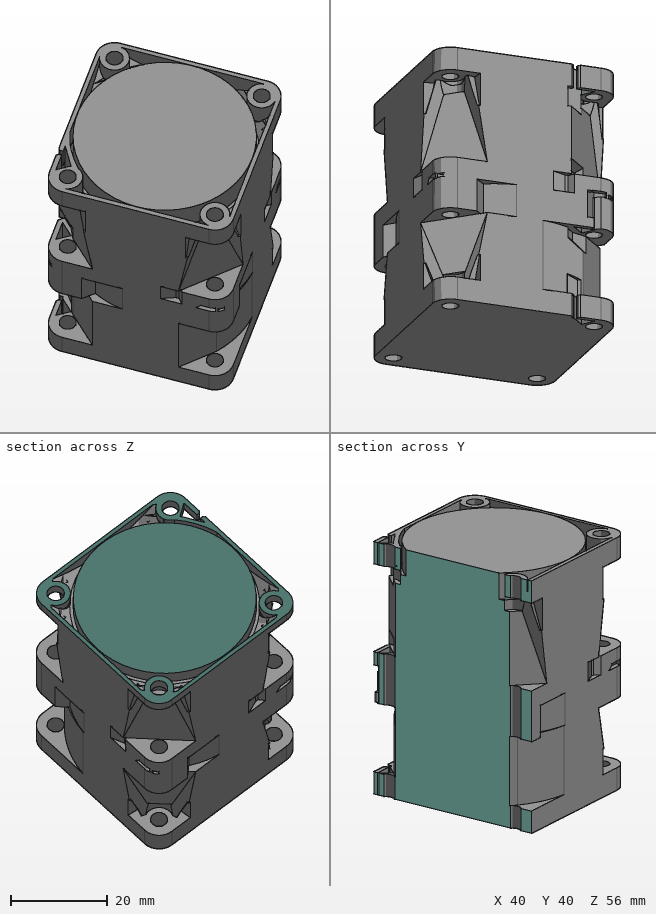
import cadquery as cq
import math

WIDTH = 40.0
HEIGHT = 56.0
HALF = WIDTH / 2
CORNER_RADIUS = 4.0

FLANGE = 5.0
TOP_FLANGE_Z = HEIGHT - FLANGE
MID_BOTTOM_Z = 20.3
MID_TOP_Z = 31.6
MID_STEP_Z = 27.4
HOLE_OFFSET = 16.0
HOLE_DIAMETER = 3.5

RECESS_EDGE = 9.35
RECESS_PLANE = HALF + RECESS_EDGE
RECESS_NARROW_EDGE = 12.4
RECESS_DRAFT = 0.3
SCREW_CLEARANCE_RADIUS = 3.0
SCREW_CLEARANCE_HEIGHT = 3.0
RELIEF_EDGE = 10.9
RELIEF_WIDTH = 2.6
RELIEF_DEPTH = 2.5
RELIEF_RIB_DEPTH = 2.0
RELIEF_TIP_WIDTH = 0.8
RELIEF_TIP_DEPTH = 0.4
RELIEF_DRAFT = 0.12
RELIEF_FLOOR_SHARE = 0.77
UPPER_RELIEF_HEIGHT = 7.1
LOWER_RELIEF_HEIGHT = 5.7

ARC_START = 3.1
ARC_END = 13.75
ARC_RADIUS = 20.5
ARC_MIDDLE_ANGLE = math.radians(25)

HUB_RADIUS = 19.0
GAP_HALF = 19.05
GAP_THROAT_RADIUS = 19.7
GAP_MOUTH_RADIUS = 27.5
GAP_DEPTH = 5.8
GAP_LEDGE_PLANE = 30.2
GAP_LEDGE_DEPTH = 4.1
HOLE_BOSS_RADIUS = 3.1

LATCH_HEIGHT = MID_TOP_Z - MID_STEP_Z
LATCH_DEPTH = 1.2
LATCH_START = 5.4
LATCH_FLOOR_START = 8.4
LATCH_FLOOR_END = 9.1
LATCH_END = 10.1
TAB_START = 2.85
TAB_DEEP = 9.4
TAB_END = 11.7
SLOT_START = 13.2
SLOT_END = 17.3
SLOT_HEIGHT = 1.2
SLOT_RAMP = 1.0
SLOT_DEPTH = 1.2
WINDOW_START = 17.8
WINDOW_END = 18.9
WINDOW_HEIGHT = 0.8
WINDOW_DEPTH = 2.2

CABLE_WALL_X = -18.9
CABLE_APEX = (-16.2, 16.2 - RECESS_PLANE)
CABLE_BACK_Y = -15.0
CABLE_MOUTH_Y = -8.6
CABLE_POCKET_Z = 46.6
CABLE_SLOT_Y = -10.5
CABLE_SLOT_WIDTH = 1.0
CABLE_SLOT_CHAMFER = 0.45
UPPER_EXIT_TOP = 35.0
LOWER_EXIT_BOTTOM = 16.5
UPPER_EXIT_END_Y = -13.75
LOWER_EXIT_END_Y = -14.7
UPPER_EXIT_WALL_X = -18.7
LOWER_EXIT_WALL_X = -17.8
EXIT_FLAT = 1.9
EXIT_ROOF_DROP = 1.9
BASE_POCKET_TOP = 9.9
BASE_POCKET = [(-19.5, -9.1), (-18.2, -9.1), (-15.8, -12.4), (-16.2, -13.1), (-18.0, -13.1)]
SIDE_CHANNEL = [(-HALF, -13.0), (-18.2, -13.75), (-HALF, -16.0)]
SIDE_CHANNEL_BOTTOM = 22.5
SIDE_CHANNEL_TOP = 28.5
SIDE_CHANNEL_STEP_Y = -14.4


def prism(points, bottom, top):
    """Vertical prism over a closed outline."""
    return cq.Workplane("XY").workplane(offset=bottom).polyline(points).close().extrude(top - bottom)


def block(x_range, y_range, z_range):
    """Box spanning three (low, high) ranges."""
    (x0, x1), (y0, y1), (z0, z1) = x_range, y_range, z_range
    return cq.Workplane("XY").box(x1 - x0, y1 - y0, z1 - z0, centered=False).translate((x0, y0, z0))


def cylinder(x, y, radius, bottom, top):
    """Vertical cylinder."""
    return cq.Workplane("XY").workplane(offset=bottom).center(x, y).circle(radius).extrude(top - bottom)


def quarter_turns(shape):
    """The four copies of a shape turned about the Z axis."""
    return [shape.rotate((0, 0, 0), (0, 0, 1), 90 * turn) for turn in range(4)]


def corner_wedge(plane, bottom, top):
    """Material beyond the line x + y = plane at the (+X, +Y) corner."""
    return prism([(plane - HALF, HALF), (HALF, HALF), (HALF, plane - HALF)], bottom, top)


def loft_between(first, first_z, second, second_z):
    """Ruled solid joining two outlines at two heights."""
    start = cq.Workplane("XY").workplane(offset=first_z).polyline(first).close()
    return start.workplane(offset=second_z - first_z).polyline(second).close().loft(ruled=True)


def side_taper(wide_z, narrow_z):
    """Space beyond the slanted, drafted side wall of a recess that opens to the +Y face."""

    def section(edge):
        return [(edge, HALF), (edge + RECESS_DRAFT * HALF, 0), (HALF, 0), (HALF, HALF)]

    return loft_between(section(RECESS_EDGE), wide_z, section(RECESS_NARROW_EDGE), narrow_z)


def swap_xy(shape):
    """Mirror across the vertical plane X = Y."""
    return shape.rotate((0, 0, 0), (0, 0, 1), -90).mirror("XZ")


def face_relief(narrow_z, tip_z):
    """Groove in the +Y face beside the recess, shrinking from the end flange to a tip."""

    def section(width, depth, rib_depth):
        inner_x = RELIEF_EDGE + RELIEF_FLOOR_SHARE * width
        return [
            (RELIEF_EDGE, HALF),
            (RELIEF_EDGE + RELIEF_DRAFT * depth, HALF - depth),
            (inner_x, HALF - rib_depth),
            (RELIEF_EDGE + width, HALF),
        ]

    wide_end = section(RELIEF_WIDTH, RELIEF_DEPTH, RELIEF_RIB_DEPTH)
    tip = section(RELIEF_TIP_WIDTH, RELIEF_TIP_DEPTH, RELIEF_TIP_DEPTH)
    return loft_between(wide_end, narrow_z, tip, tip_z)


def tapered_recess(wide_z, narrow_z, relief_height, both_sides=True):
    """Cuts for a recess at the (+X, +Y) corner that narrows from wide_z to narrow_z."""
    direction = math.copysign(1, narrow_z - wide_z)
    taper = side_taper(wide_z, narrow_z)
    relief = face_relief(narrow_z, narrow_z - direction * relief_height)
    recess = corner_wedge(RECESS_PLANE, *sorted((wide_z, narrow_z))).intersect(taper)
    clearance_range = sorted((narrow_z - direction * SCREW_CLEARANCE_HEIGHT, narrow_z))
    cuts = [relief, cylinder(HOLE_OFFSET, HOLE_OFFSET, SCREW_CLEARANCE_RADIUS, *clearance_range)]
    if both_sides:
        recess = recess.intersect(swap_xy(taper))
        cuts.append(swap_xy(relief))
    return cuts + [recess]


def mirrored(shapes, *planes):
    """Copies of the shapes mirrored across each of the named planes in turn."""
    for plane in planes:
        shapes = [shape.mirror(plane) for shape in shapes]
    return shapes


def rounded_recess():
    """Recess at the (+X, +Y) corner: an arc from the +X face, then a flat chamfer."""
    middle = (ARC_RADIUS * math.cos(ARC_MIDDLE_ANGLE), ARC_RADIUS * math.sin(ARC_MIDDLE_ANGLE))
    outline = (
        cq.Workplane("XY")
        .workplane(offset=FLANGE)
        .moveTo(HALF, ARC_START)
        .threePointArc(middle, (RECESS_PLANE - ARC_END, ARC_END))
        .lineTo(RECESS_EDGE, HALF)
        .lineTo(HALF, HALF)
        .close()
    )
    return outline.extrude(MID_BOTTOM_Z - FLANGE)


def corner_recesses():
    """All eight corner recesses, upper then lower."""
    upper = tapered_recess(MID_TOP_Z, TOP_FLANGE_Z, UPPER_RELIEF_HEIGHT)
    cable_side = tapered_recess(MID_TOP_Z, TOP_FLANGE_Z, UPPER_RELIEF_HEIGHT, both_sides=False)
    lower = tapered_recess(MID_BOTTOM_Z, FLANGE, LOWER_RELIEF_HEIGHT)
    rounded = rounded_recess()
    upper_cuts = upper + mirrored(upper, "XZ") + mirrored(upper, "YZ") + mirrored(cable_side, "XZ", "YZ")
    lower_cuts = lower + mirrored(lower, "YZ") + mirrored([rounded], "XZ") + mirrored([rounded], "XZ", "YZ")
    return upper_cuts + lower_cuts


def inlet_gap():
    """Flared gap between the round hub and the square top flange."""
    floor_z = HEIGHT - GAP_DEPTH
    gap = (
        cq.Workplane("XY")
        .workplane(offset=floor_z)
        .circle(GAP_THROAT_RADIUS)
        .workplane(offset=GAP_DEPTH)
        .circle(GAP_MOUTH_RADIUS)
        .loft()
    )
    gap = gap.intersect(block((-GAP_HALF, GAP_HALF), (-GAP_HALF, GAP_HALF), (floor_z, HEIGHT)))
    gap = gap.cut(cylinder(0, 0, HUB_RADIUS, floor_z, HEIGHT))
    boss = cylinder(HOLE_OFFSET, HOLE_OFFSET, HOLE_BOSS_RADIUS, floor_z, HEIGHT)
    outer = block((HOLE_OFFSET, HALF), (HOLE_OFFSET, HALF), (floor_z, HEIGHT))
    ledge = corner_wedge(GAP_LEDGE_PLANE, floor_z, HEIGHT - GAP_LEDGE_DEPTH)
    for kept in quarter_turns(boss.union(outer).union(ledge)):
        gap = gap.cut(kept)
    cable_corner = block((-HALF, CABLE_APEX[0] + HOLE_BOSS_RADIUS), (-HOLE_OFFSET, 0), (floor_z, HEIGHT))
    return gap.cut(cable_corner.cut(cylinder(0, 0, GAP_THROAT_RADIUS, floor_z, HEIGHT)))


def latch_pockets():
    """Latch notch, tab pocket and hook slots of the -Y side of the middle flange."""
    face = -HALF
    floor = face + LATCH_DEPTH
    notch_outline = [
        (LATCH_START, face),
        (LATCH_FLOOR_START, floor),
        (LATCH_FLOOR_END, floor),
        (LATCH_END, face),
    ]
    notch = prism(notch_outline, MID_STEP_Z, MID_STEP_Z + LATCH_HEIGHT)

    tab_radius = math.hypot(HALF, TAB_START)
    middle_x = (TAB_START + TAB_DEEP) / 2
    tab = (
        cq.Workplane("XY")
        .workplane(offset=MID_BOTTOM_Z)
        .moveTo(-TAB_START, face)
        .threePointArc(
            (-middle_x, -math.sqrt(tab_radius**2 - middle_x**2)),
            (-TAB_DEEP, -math.sqrt(tab_radius**2 - TAB_DEEP**2)),
        )
        .lineTo(-TAB_END, face)
        .close()
        .extrude(MID_STEP_Z - MID_BOTTOM_Z)
    )
    slot_top = MID_STEP_Z + SLOT_HEIGHT
    slot_outline = [
        (SLOT_START, MID_STEP_Z),
        (SLOT_START + SLOT_RAMP, slot_top),
        (SLOT_END, slot_top),
        (SLOT_END, MID_STEP_Z),
    ]
    slot = cq.Workplane("XZ", origin=(0, face, 0)).polyline(slot_outline).close().extrude(-SLOT_DEPTH)
    window_z = (MID_STEP_Z, MID_STEP_Z + WINDOW_HEIGHT)
    window = block((WINDOW_START, WINDOW_END), (face, face + WINDOW_DEPTH), window_z)
    return [notch, tab, slot, window]


def exit_pocket(wall_x, end_y, open_z, closed_z):
    """Cable exit behind the corner chamfer, with a roof that slopes down toward its back wall."""
    back_start = (wall_x, -RECESS_EDGE)
    back_end = (wall_x + EXIT_FLAT, -RECESS_EDGE - EXIT_FLAT)
    outline = [(-HALF, -RECESS_EDGE), back_start, back_end, (-RECESS_PLANE - end_y, end_y)]
    pocket = prism(outline, *sorted((open_z, closed_z)))
    chamfer_distance = RECESS_PLANE / math.sqrt(2)
    back_distance = -sum(back_start) / math.sqrt(2)
    back_z = closed_z - math.copysign(EXIT_ROOF_DROP, closed_z - open_z)
    roof = cq.Workplane("XZ").polyline(
        [(-chamfer_distance, closed_z), (-back_distance, back_z), (-back_distance, closed_z)]
    )
    roof = roof.close().extrude(HALF, both=True).rotate((0, 0, 0), (0, 0, 1), 45)
    return pocket.cut(roof)


def cable_channel():
    """Cable path through the flanges at the (-X, -Y) corner, with its side openings."""
    passage_start = (CABLE_WALL_X, -RECESS_PLANE - CABLE_WALL_X)
    passages = [
        prism([passage_start, CABLE_APEX, (CABLE_WALL_X, CABLE_BACK_Y)], bottom, top)
        for bottom, top in [(0, FLANGE), (MID_BOTTOM_Z, MID_TOP_Z)]
    ]
    top_mouth = prism(
        [(CABLE_WALL_X, CABLE_MOUTH_Y), CABLE_APEX, (CABLE_WALL_X, CABLE_BACK_Y)], CABLE_POCKET_Z, HEIGHT
    )

    pocket_z = (CABLE_POCKET_Z, TOP_FLANGE_Z)
    side_mouth = prism(
        [(-HALF, CABLE_MOUTH_Y), (CABLE_WALL_X, CABLE_MOUTH_Y), CABLE_APEX, (-HALF, CABLE_APEX[1])], *pocket_z
    )
    pockets = [
        side_mouth,
        exit_pocket(UPPER_EXIT_WALL_X, UPPER_EXIT_END_Y, MID_TOP_Z, UPPER_EXIT_TOP),
        exit_pocket(LOWER_EXIT_WALL_X, LOWER_EXIT_END_Y, MID_BOTTOM_Z, LOWER_EXIT_BOTTOM),
        prism(BASE_POCKET, FLANGE, BASE_POCKET_TOP),
    ]
    channel = prism(SIDE_CHANNEL, MID_BOTTOM_Z, SIDE_CHANNEL_TOP)
    step = block((-HALF, CABLE_WALL_X), (SIDE_CHANNEL_STEP_Y, 0), (MID_BOTTOM_Z, SIDE_CHANNEL_BOTTOM))
    return passages + [top_mouth, channel.cut(step)] + pockets


def cable_slots():
    """Chamfered slots that open the cable passage to the -X side in both end flanges."""
    half_slot = CABLE_SLOT_WIDTH / 2
    half_mouth = half_slot + CABLE_SLOT_CHAMFER
    outline = [
        (-HALF, CABLE_SLOT_Y + half_mouth),
        (-HALF + CABLE_SLOT_CHAMFER, CABLE_SLOT_Y + half_slot),
        (CABLE_WALL_X, CABLE_SLOT_Y + half_slot),
        (CABLE_WALL_X, CABLE_SLOT_Y - half_slot),
        (-HALF + CABLE_SLOT_CHAMFER, CABLE_SLOT_Y - half_slot),
        (-HALF, CABLE_SLOT_Y - half_mouth),
    ]
    return [prism(outline, 0, FLANGE), prism(outline, TOP_FLANGE_Z, HEIGHT)]


def build():
    body = cq.Workplane("XY").rect(WIDTH, WIDTH).extrude(HEIGHT).edges("|Z").fillet(CORNER_RADIUS)
    cuts = corner_recesses() + cable_channel() + cable_slots() + [inlet_gap()]
    for pocket in latch_pockets():
        cuts += quarter_turns(pocket)
    cuts += quarter_turns(cylinder(HOLE_OFFSET, HOLE_OFFSET, HOLE_DIAMETER / 2, 0, HEIGHT))
    for cut in cuts:
        body = body.cut(cut)
    return body


result = build()